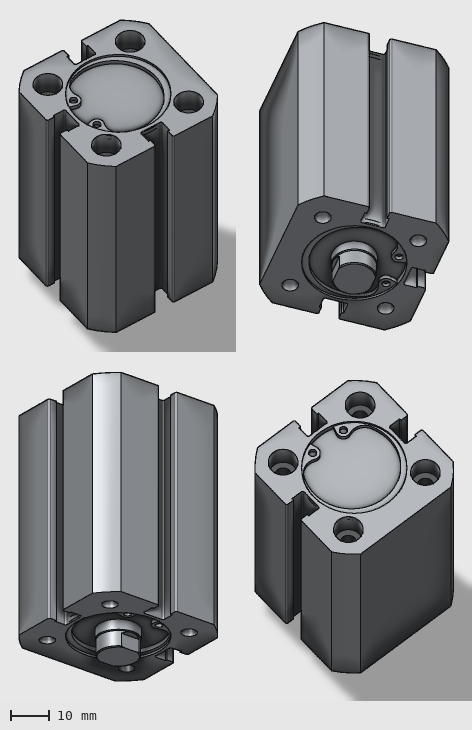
import cadquery as cq
import math

total_height = 69.0
housing_side = 41.0
rod_projection = 5.85

corner_arc_radius = 25.5
slot_depth = 6.0
slot_inner_width = 6.6
slot_mouth_width = 5.5
slot_lip_thickness = 2.4
slot_mouth_round = 0.5
slot_floor_round = 0.5
slot_turns = (-90, 0, 90)

mount_hole_offset = 13.0
mount_hole_diameter = 4.2
counterbore_diameter = 7.6
counterbore_depth = 6.9

bore_diameter = 27.05
cover_thickness = 6.0
ring_outer_diameter = 28.7
ring_recess = 0.7
ring_thickness = 1.25
ring_opening_radius = 12.6
ring_opening_shift = 1.05
ring_neck_radius = 4.15
lug_radius = 1.9
lug_x = 5.2
lug_y = -10.4
lug_hole_diameter = 2.1

rod_diameter = 12.0
rod_tip_diameter = 11.5
rod_collar_length = 1.0
rod_tip_chamfer = 0.3
rod_flat_width = 10.0

half_side = housing_side / 2
bore_radius = bore_diameter / 2
ring_outer_radius = ring_outer_diameter / 2
housing_bottom = rod_projection
housing_height = total_height - housing_bottom
bore_depth = ring_recess + ring_thickness + cover_thickness
upper_ring_bottom = total_height - ring_recess - ring_thickness
lower_ring_bottom = housing_bottom + ring_recess
head_cover_bottom = total_height - bore_depth
rod_cover_bottom = lower_ring_bottom + ring_thickness
ring_bottoms = (lower_ring_bottom, upper_ring_bottom)


def make_cylinder(diameter, bottom, height):
    """Upright cylinder on the Z axis."""
    return cq.Workplane("XY", origin=(0, 0, bottom)).circle(diameter / 2).extrude(height)


def polar(center, radius, angle):
    """Point on a circle, with the angle in radians from +X."""
    return (center[0] + radius * math.cos(angle), center[1] + radius * math.sin(angle))


def mirrored(point):
    """Reflect a point in the YZ plane."""
    return (-point[0], point[1])


def make_slot_cutter(turn):
    """T-slot cutter along the full housing height, opening to -Y and turned about Z."""
    mouth = slot_mouth_width / 2
    inner = slot_inner_width / 2
    lip_y = -half_side + slot_lip_thickness
    floor_y = -half_side + slot_depth
    inner_slot = (
        cq.Workplane("XY", origin=(0, 0, housing_bottom))
        .moveTo(0, (lip_y + floor_y) / 2)
        .rect(2 * inner, floor_y - lip_y)
        .extrude(housing_height)
        .edges("|Z and >Y")
        .fillet(slot_floor_round)
    )
    flare = mouth + slot_mouth_round
    flare_y = -half_side + slot_mouth_round
    mouth_slot = (
        cq.Workplane("XY", origin=(0, 0, housing_bottom))
        .moveTo(-mouth, lip_y)
        .lineTo(-mouth, flare_y)
        .radiusArc((-flare, -half_side), slot_mouth_round)
        .lineTo(flare, -half_side)
        .radiusArc((mouth, flare_y), slot_mouth_round)
        .lineTo(mouth, lip_y)
        .close()
        .extrude(housing_height)
    )
    return inner_slot.union(mouth_slot).rotate((0, 0, 0), (0, 0, 1), turn)


def make_housing():
    """Square extrusion with round corners, three T-slots, bores and mounting holes."""
    housing = cq.Workplane("XY", origin=(0, 0, housing_bottom)).rect(housing_side, housing_side)
    housing = housing.extrude(housing_height)
    housing = housing.intersect(
        make_cylinder(2 * corner_arc_radius, housing_bottom, housing_height)
    )

    for turn in slot_turns:
        housing = housing.cut(make_slot_cutter(turn))

    housing = (
        housing.faces(">Z")
        .workplane(origin=(0, 0, total_height))
        .rect(2 * mount_hole_offset, 2 * mount_hole_offset, forConstruction=True)
        .vertices()
        .cboreHole(mount_hole_diameter, counterbore_diameter, counterbore_depth)
    )

    housing = housing.cut(make_cylinder(bore_diameter, head_cover_bottom, bore_depth))
    housing = housing.cut(make_cylinder(bore_diameter, housing_bottom, bore_depth))
    housing = housing.cut(make_cylinder(rod_diameter, housing_bottom, housing_height - bore_depth))
    for ring_bottom in ring_bottoms:
        housing = housing.cut(make_retaining_ring(ring_bottom))
    return housing


def make_head_cover():
    """Plain disc that closes the upper bore below its retaining ring."""
    return make_cylinder(bore_diameter, head_cover_bottom, cover_thickness)


def make_rod_cover():
    """Disc in the lower bore that guides the rod."""
    cover = make_cylinder(bore_diameter, rod_cover_bottom, cover_thickness)
    return cover.cut(make_cylinder(rod_diameter, rod_cover_bottom, cover_thickness))


def make_retaining_ring(ring_bottom):
    """Open ring, thinner toward its two lugs, each with a plier hole."""
    opening_center = (0, -ring_opening_shift)
    lug = (lug_x, lug_y)

    to_neck = ring_opening_radius - ring_neck_radius
    lug_to_neck = lug_radius + ring_neck_radius
    lug_distance = math.hypot(lug[0] - opening_center[0], lug[1] - opening_center[1])
    lug_angle = math.atan2(lug[1] - opening_center[1], lug[0] - opening_center[0])
    neck_swing = math.acos(
        (to_neck**2 + lug_distance**2 - lug_to_neck**2) / (2 * to_neck * lug_distance)
    )
    neck_angle = lug_angle + neck_swing
    neck = polar(opening_center, to_neck, neck_angle)
    neck_start = polar(opening_center, ring_opening_radius, neck_angle)
    lug_to_neck_angle = math.atan2(neck[1] - lug[1], neck[0] - lug[0])
    neck_end = polar(lug, lug_radius, lug_to_neck_angle)
    neck_middle = polar(neck, ring_neck_radius, (neck_angle + lug_to_neck_angle - math.pi) / 2)

    end_angle = math.atan2(lug[1], lug[0]) - math.asin(lug_radius / math.hypot(*lug))
    end_outer = polar((0, 0), ring_outer_radius, end_angle)
    end_normal = end_angle + 3 * math.pi / 2
    end_touch = polar(lug, lug_radius, end_normal)
    lug_middle = polar(lug, lug_radius, (lug_to_neck_angle + end_normal) / 2)

    ring = (
        cq.Workplane("XY", origin=(0, 0, ring_bottom))
        .moveTo(*end_outer)
        .threePointArc((0, ring_outer_radius), mirrored(end_outer))
        .lineTo(*mirrored(end_touch))
        .threePointArc(mirrored(lug_middle), mirrored(neck_end))
        .threePointArc(mirrored(neck_middle), mirrored(neck_start))
        .threePointArc((0, ring_opening_radius - ring_opening_shift), neck_start)
        .threePointArc(neck_middle, neck_end)
        .threePointArc(lug_middle, end_touch)
        .close()
        .extrude(ring_thickness)
    )
    lug_holes = (
        cq.Workplane("XY", origin=(0, 0, ring_bottom))
        .pushPoints([lug, mirrored(lug)])
        .circle(lug_hole_diameter / 2)
        .extrude(ring_thickness)
    )
    return ring.cut(lug_holes)


def make_rod():
    """Stepped rod up to the head cover, with two wrench flats that run out at 45 degrees."""
    rod_radius = rod_diameter / 2
    tip_radius = rod_tip_diameter / 2
    step = rod_radius - tip_radius
    collar_bottom = housing_bottom - rod_collar_length
    rod = (
        cq.Workplane("XZ")
        .moveTo(0, 0)
        .lineTo(tip_radius - rod_tip_chamfer, 0)
        .lineTo(tip_radius, rod_tip_chamfer)
        .lineTo(tip_radius, collar_bottom - step)
        .lineTo(rod_radius, collar_bottom)
        .lineTo(rod_radius, head_cover_bottom)
        .lineTo(0, head_cover_bottom)
        .close()
        .revolve(360, (0, 0, 0), (0, 1, 0))
    )

    flat_y = rod_flat_width / 2
    flat_top = collar_bottom - (rod_radius - flat_y)
    flat_cut = (
        cq.Workplane("YZ", origin=(-rod_radius, 0, 0))
        .moveTo(flat_y, 0)
        .lineTo(flat_y, flat_top)
        .lineTo(rod_radius, collar_bottom)
        .lineTo(rod_radius, 0)
        .close()
        .extrude(rod_diameter)
    )
    return rod.cut(flat_cut).cut(flat_cut.mirror("XZ"))


housing = make_housing()
head_cover = make_head_cover()
rod_cover = make_rod_cover()
rod = make_rod()
retaining_rings = [make_retaining_ring(ring_bottom).val() for ring_bottom in ring_bottoms]

result = cq.Compound.makeCompound(
    [housing.val(), head_cover.val(), rod_cover.val(), rod.val(), *retaining_rings]
)